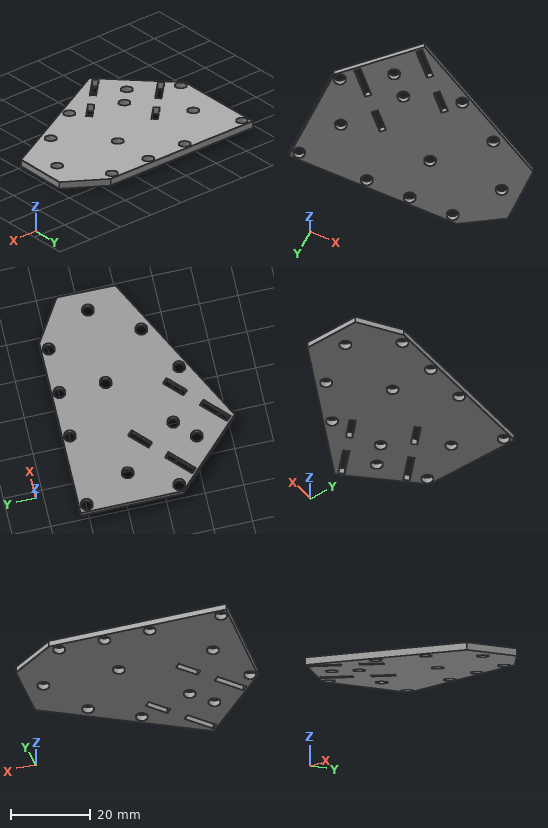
import cadquery as cq
import math

length = 58.0
width = 43.85
thickness = 2.0
corner_cut = 17.2
right_bottom = (57.8, 21.6)
right_top_y = 36.85
top_edge_length = 47.0

hole_diameter = 3.0
edge_margin = 2.0
pitch = 12.0
half_pitch = pitch / 2
diagonal_hole_pitch = 7.0
top_row_y = width - edge_margin
middle_row_y = top_row_y - pitch
lower_row_y = middle_row_y - pitch
bottom_hole_y = lower_row_y - diagonal_hole_pitch
column_x = 32.9
last_hole_x = 52.9

axis_angle = 45.0
axis_start_x = 10.15
axis_start = (axis_start_x, corner_cut - axis_start_x)
first_diagonal_hole = 5.05
slot_spacing = 16.6
slot_width = 1.6
outer_slot_length = 8.1
inner_slot_length = 6.1
outer_slot_distance = 4.75
inner_slot_distance = outer_slot_distance + pitch


def diagonal_point(along, across=0.0):
    """Plate position given by distances along and across the diagonal axis."""
    angle = math.radians(axis_angle)
    x = axis_start[0] + along * math.cos(angle) - across * math.sin(angle)
    y = axis_start[1] + along * math.sin(angle) + across * math.cos(angle)
    return (x, y)


def plate():
    outline = [
        (corner_cut, 0),
        right_bottom,
        (length, right_top_y),
        (top_edge_length, width),
        (0, width),
        (0, corner_cut),
    ]
    return cq.Workplane("XY").polyline(outline).close().extrude(thickness)


def round_holes():
    centers = [
        (edge_margin, top_row_y),
        (column_x - pitch, top_row_y),
        (column_x, top_row_y),
        (column_x + pitch, top_row_y),
        (edge_margin + half_pitch, middle_row_y),
        (column_x, middle_row_y),
        (last_hole_x, middle_row_y),
        (edge_margin, lower_row_y),
        (column_x + pitch, lower_row_y),
        (column_x, bottom_hole_y),
        diagonal_point(first_diagonal_hole),
        diagonal_point(first_diagonal_hole + diagonal_hole_pitch),
    ]
    return cq.Workplane("XY").pushPoints(centers).circle(hole_diameter / 2).extrude(thickness)


def slot_pair(distance, slot_length):
    """Two rectangular slots, parallel to the diagonal axis, one on each side."""
    centers = [diagonal_point(distance, side * slot_spacing / 2) for side in (-1, 1)]
    return (
        cq.Workplane("XY")
        .pushPoints(centers)
        .sketch()
        .rect(slot_length, slot_width, angle=axis_angle)
        .finalize()
        .extrude(thickness)
    )


result = (
    plate()
    .cut(round_holes())
    .cut(slot_pair(outer_slot_distance, outer_slot_length))
    .cut(slot_pair(inner_slot_distance, inner_slot_length))
)